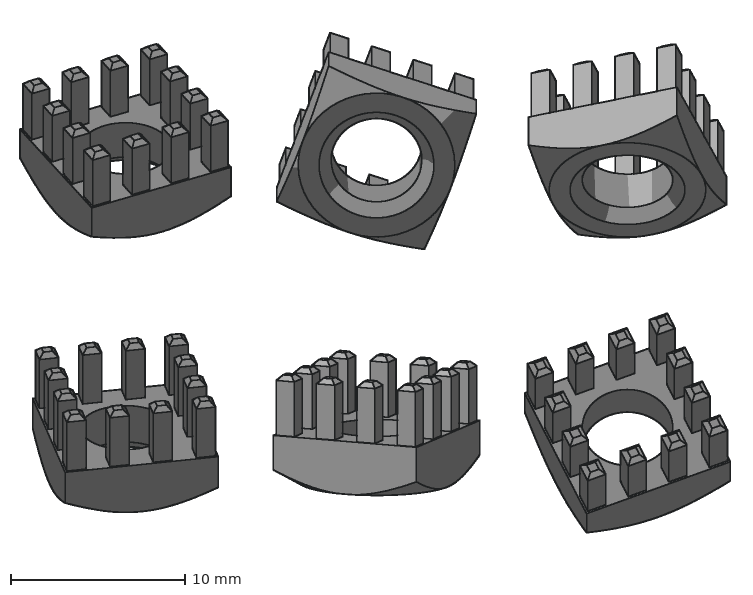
import cadquery as cq
import math

body_side = 9.0
body_height = 3.1
bore_diameter = 5.2
bore_chamfer = 0.7

overall_height = 6.6
pins_per_side = 4
pin_pitch = 2.54
pin_side = 1.13
tip_chamfer = 0.3

relief_angle = 30.0
relief_inner_radius = body_side / 2
relief_outer_radius = body_side
relief_rise = (relief_outer_radius - relief_inner_radius) * math.tan(math.radians(relief_angle))


def make_relief():
    """Ring below a cone that rises outwards from the middle of each lower side edge."""
    return (
        cq.Workplane("XZ")
        .moveTo(relief_inner_radius, 0)
        .lineTo(relief_outer_radius, 0)
        .lineTo(relief_outer_radius, relief_rise)
        .close()
        .revolve(360, (0, 0, 0), (0, 1, 0))
    )


def make_body():
    """Square block standing on Z = 0, relieved at the lower corners and bored through."""
    block = cq.Workplane("XY").box(body_side, body_side, body_height, centered=(True, True, False))
    bored = block.cut(make_relief()).faces(">Z").workplane().hole(bore_diameter)
    smallest_circle = cq.selectors.RadiusNthSelector(0)
    return bored.faces("<Z").edges(smallest_circle).chamfer(bore_chamfer)


def pin_centres():
    """Points on the outer ring of a square grid."""
    last = pins_per_side - 1
    centres = []
    for column in range(pins_per_side):
        for row in range(pins_per_side):
            if column in (0, last) or row in (0, last):
                x = (column - last / 2) * pin_pitch
                y = (row - last / 2) * pin_pitch
                centres.append((x, y))
    return centres


def make_pins():
    """Square posts standing on the body, each with a chamfered tip."""
    return (
        cq.Workplane("XY", origin=(0, 0, body_height))
        .pushPoints(pin_centres())
        .rect(pin_side, pin_side)
        .extrude(overall_height - body_height)
        .faces(">Z")
        .chamfer(tip_chamfer)
    )


result = make_body().union(make_pins())